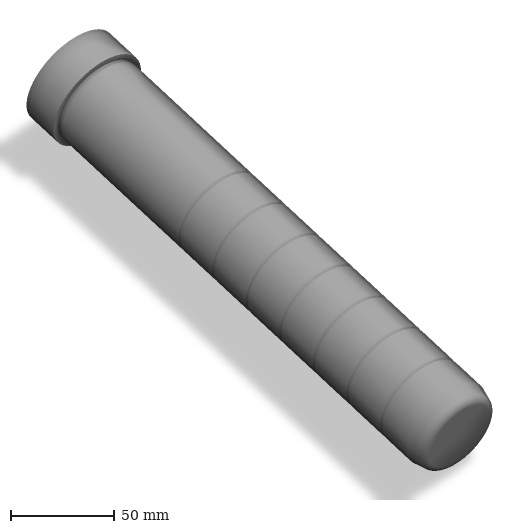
import cadquery as cq
import math

total_length = 290.0
shaft_radius = 50.0 / 2

head_length = 20.0
head_radius = 56.0 / 2

relief_depth = 0.3
relief_floor_width = 1.5
relief_slope_width = 1.0

groove_count = 7
first_groove_x = 110.0
last_groove_x = 260.0
groove_pitch = (last_groove_x - first_groove_x) / (groove_count - 1)
groove_width = 3.0
groove_depth = 0.5

taper_length = 10.0
taper_angle = math.radians(15)
rim_radius = 4.0

countersink_radius = 6.5 / 2
pilot_radius = 3.2 / 2
countersink_angle = math.radians(60)
pilot_length = 3.0
drill_point_angle = math.radians(118)


def cone_height(large_radius, small_radius, included_angle):
    """Axial length of a cone between two radii."""
    return (large_radius - small_radius) / math.tan(included_angle / 2)


def revolve_about_x(outline):
    """Close an XY outline and spin it around the X axis."""
    return outline.close().revolve(360, (0, 0, 0), (1, 0, 0))


def make_body():
    """Headed shaft with the relief, the taper and the rounded rim."""
    relief_end_x = head_length + relief_floor_width
    slope_end_x = relief_end_x + relief_slope_width
    taper_start_x = total_length - taper_length

    rim_center_x = total_length - rim_radius
    rim_start_x = rim_center_x + rim_radius * math.sin(taper_angle)
    rim_start_y = shaft_radius - (rim_start_x - taper_start_x) * math.tan(taper_angle)
    rim_center_y = rim_start_y - rim_radius * math.cos(taper_angle)

    rim_mid_angle = (math.pi / 2 - taper_angle) / 2
    rim_mid = (
        rim_center_x + rim_radius * math.cos(rim_mid_angle),
        rim_center_y + rim_radius * math.sin(rim_mid_angle),
    )

    outline = (
        cq.Workplane("XY")
        .moveTo(0, 0)
        .lineTo(0, head_radius)
        .lineTo(head_length, head_radius)
        .lineTo(head_length, shaft_radius - relief_depth)
        .lineTo(relief_end_x, shaft_radius - relief_depth)
        .lineTo(slope_end_x, shaft_radius)
        .lineTo(taper_start_x, shaft_radius)
        .lineTo(rim_start_x, rim_start_y)
        .threePointArc(rim_mid, (total_length, rim_center_y))
        .lineTo(total_length, 0)
    )
    return revolve_about_x(outline)


def make_groove(center_x):
    """Ring with a V section that cuts one groove into the shaft."""
    outline = (
        cq.Workplane("XY")
        .moveTo(center_x - groove_width / 2, shaft_radius)
        .lineTo(center_x, shaft_radius - groove_depth)
        .lineTo(center_x + groove_width / 2, shaft_radius)
        .lineTo(center_x + groove_width / 2, head_radius)
        .lineTo(center_x - groove_width / 2, head_radius)
    )
    return revolve_about_x(outline)


def make_center_hole():
    """Center drill shape that enters through the head face."""
    pilot_start_x = cone_height(countersink_radius, pilot_radius, countersink_angle)
    pilot_end_x = pilot_start_x + pilot_length
    tip_x = pilot_end_x + cone_height(pilot_radius, 0, drill_point_angle)
    outline = (
        cq.Workplane("XY")
        .moveTo(0, 0)
        .lineTo(0, countersink_radius)
        .lineTo(pilot_start_x, pilot_radius)
        .lineTo(pilot_end_x, pilot_radius)
        .lineTo(tip_x, 0)
    )
    return revolve_about_x(outline)


result = make_body()
for index in range(groove_count):
    result = result.cut(make_groove(first_groove_x + index * groove_pitch))
result = result.cut(make_center_hole())